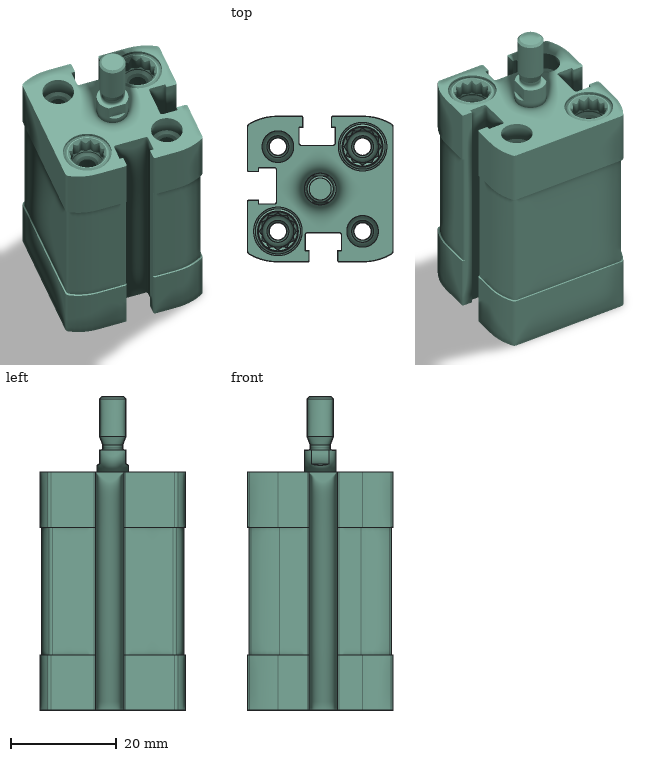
import cadquery as cq
import math

total_height = 59.2
body_width = 27.5
body_height = 45.0
cap_height = 10.5
tube_inset = 0.3

crown_run = 5.75
crown_radius = 10.65
corner_radius = 0.75

slot_mouth = 5.4
slot_width = 6.8
slot_depth = 5.5
lip_thickness = 2.15
slot_shift = 0.6
slot_floor_radius = 0.4
mouth_radius = 0.3

hole_spacing = 16.0
through_diameter = 3.25
countersink_diameter = 4.15
counterbore_diameter = 6.0
counterbore_depth = 3.5

recess_diameter = 9.2
recess_depth = 0.55
rim_base_diameter = 8.5
rim_diameter = 7.7
rim_drop = 0.1
funnel_diameter = 7.35
funnel_slope = 55.0
spline_count = 12
spline_root_diameter = 7.0
spline_tip_diameter = 6.1
spline_depth = 3.2

collar_diameter = 6.0
collar_height = 4.15
flat_distance = 5.0
flat_length = 2.6
shelf_slope = 30.0
neck_diameter = 3.8
neck_length = 0.95
neck_fillet = 0.4
taper_length = 1.6
thread_diameter = 5.0
thread_chamfer = 0.4

cap_half = body_width / 2
tube_half = cap_half - tube_inset
tube_height = body_height - 2 * cap_height


def block(half, bottom, height):
    """Prism with flat X sides and Y sides that curve back towards the corners."""
    flat = half - crown_run
    drop = crown_radius - math.sqrt(crown_radius**2 - crown_run**2)
    shoulder = half - drop
    outline = (
        cq.Workplane("XY")
        .workplane(offset=bottom)
        .moveTo(-flat, half)
        .lineTo(flat, half)
        .radiusArc((half, shoulder), crown_radius)
        .lineTo(half, -shoulder)
        .radiusArc((flat, -half), crown_radius)
        .lineTo(-flat, -half)
        .radiusArc((-half, -shoulder), crown_radius)
        .lineTo(-half, shoulder)
        .radiusArc((-flat, half), crown_radius)
        .close()
    )
    return outline.extrude(height).edges("|Z").edges(">X or <X").fillet(corner_radius)


def slot_cutter(half, bottom, height):
    """T-slot opening towards +Y, shifted to -X, with a rounded mouth at y = half."""
    mouth = slot_mouth / 2
    wide = slot_width / 2
    lip = cap_half - lip_thickness
    floor = cap_half - slot_depth
    cutter = (
        cq.Workplane("XY")
        .workplane(offset=bottom)
        .moveTo(-mouth - mouth_radius, half)
        .radiusArc((-mouth, half - mouth_radius), mouth_radius)
        .lineTo(-mouth, lip)
        .lineTo(-wide, lip)
        .lineTo(-wide, floor)
        .lineTo(wide, floor)
        .lineTo(wide, lip)
        .lineTo(mouth, lip)
        .lineTo(mouth, half - mouth_radius)
        .radiusArc((mouth + mouth_radius, half), mouth_radius)
        .close()
        .extrude(height)
        .edges("|Z")
        .edges("<Y")
        .fillet(slot_floor_radius)
    )
    return cutter.translate((-slot_shift, 0, 0))


def slotted_block(half, bottom, height):
    """Block with T-slots in its +Y and -Y sides and, shifted to +Y, in its -X side."""
    slotted = block(half, bottom, height)
    plus_y_slot = slot_cutter(half, bottom, height)
    minus_y_slot = plus_y_slot.rotate((0, 0, 0), (0, 0, 1), 180)
    minus_x_slot = plus_y_slot.mirror("YZ").rotate((0, 0, 0), (0, 0, 1), 90)
    for slot in (plus_y_slot, minus_y_slot, minus_x_slot):
        slotted = slotted.cut(slot)
    return slotted


def corner_hole():
    """Through hole with a countersink in the floor of a counterbore."""
    through = through_diameter / 2
    sink = countersink_diameter / 2
    bore = counterbore_diameter / 2
    floor = body_height - counterbore_depth
    return (
        cq.Workplane("XZ")
        .moveTo(0, 0)
        .lineTo(through, 0)
        .lineTo(through, floor - (sink - through))
        .lineTo(sink, floor)
        .lineTo(bore, floor)
        .lineTo(bore, body_height)
        .lineTo(0, body_height)
        .close()
        .revolve(360, (0, 0, 0), (0, 1, 0))
    )


def socket():
    """Recess that leaves a chamfered rim, with a funnel leading into splines."""
    recess = recess_diameter / 2
    rim_base = rim_base_diameter / 2
    rim = rim_diameter / 2
    funnel = funnel_diameter / 2
    rim_top = body_height - rim_drop
    recess_floor = body_height - recess_depth
    funnel_tip = rim_top - funnel * math.tan(math.radians(funnel_slope))
    mouth = (
        cq.Workplane("XZ")
        .moveTo(0, funnel_tip)
        .lineTo(funnel, rim_top)
        .lineTo(rim, rim_top)
        .lineTo(rim_base, recess_floor)
        .lineTo(recess, recess_floor)
        .lineTo(recess, body_height)
        .lineTo(0, body_height)
        .close()
        .revolve(360, (0, 0, 0), (0, 1, 0))
    )
    star = []
    for i in range(2 * spline_count):
        radius = (spline_root_diameter if i % 2 == 0 else spline_tip_diameter) / 2
        angle = math.pi * i / spline_count
        star.append((radius * math.cos(angle), radius * math.sin(angle)))
    splines = (
        cq.Workplane("XY")
        .workplane(offset=body_height - spline_depth)
        .polyline(star)
        .close()
        .extrude(spline_depth - rim_drop)
    )
    return mouth.union(splines)


def make_housing():
    """Tube between two end caps, with four corner holes, two of them splined."""
    body = slotted_block(cap_half, 0, cap_height)
    body = body.union(slotted_block(tube_half, cap_height, tube_height))
    body = body.union(slotted_block(cap_half, cap_height + tube_height, cap_height))
    for side_x in (-1, 1):
        for side_y in (-1, 1):
            place = (side_x * hole_spacing / 2, side_y * hole_spacing / 2, 0)
            body = body.cut(corner_hole().translate(place))
            if side_x == side_y:
                body = body.cut(socket().translate(place))
    return body


def wrench_flat():
    """Cutter for the wrench flat on the -Y side of the rod collar."""
    flat = flat_distance / 2
    outside = collar_diameter
    top = body_height + collar_height
    shelf = top - flat_length
    fall = (outside - flat) * math.tan(math.radians(shelf_slope))
    return (
        cq.Workplane("YZ")
        .moveTo(-flat, top)
        .lineTo(-flat, shelf)
        .lineTo(-outside, shelf - fall)
        .lineTo(-outside, top)
        .close()
        .extrude(collar_diameter / 2, both=True)
    )


def make_rod():
    """Rod end standing on the housing: collar with flats, neck and thread."""
    collar = collar_diameter / 2
    neck = neck_diameter / 2
    thread = thread_diameter / 2
    collar_top = body_height + collar_height
    taper_start = collar_top + neck_length
    rod = (
        cq.Workplane("XZ")
        .moveTo(0, body_height)
        .lineTo(collar, body_height)
        .lineTo(collar, collar_top)
        .lineTo(neck + neck_fillet, collar_top)
        .radiusArc((neck, collar_top + neck_fillet), neck_fillet)
        .lineTo(neck, taper_start)
        .lineTo(thread, taper_start + taper_length)
        .lineTo(thread, total_height - thread_chamfer)
        .lineTo(thread - thread_chamfer, total_height)
        .lineTo(0, total_height)
        .close()
        .revolve(360, (0, 0, 0), (0, 1, 0))
    )
    flat = wrench_flat()
    return rod.cut(flat).cut(flat.mirror("XZ"))


housing = make_housing()
rod = make_rod()
result = cq.Compound.makeCompound([housing.solids().val(), rod.solids().val()])